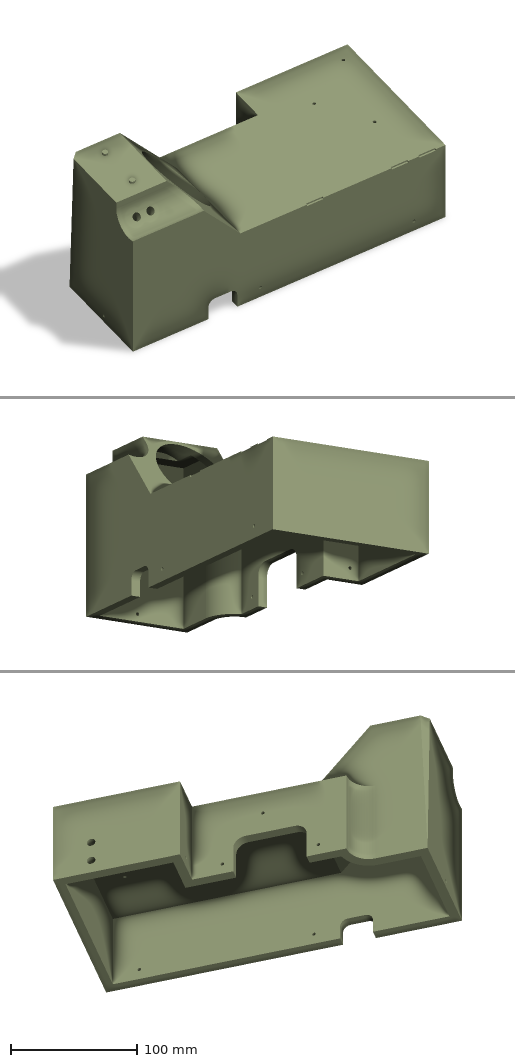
import cadquery as cq
import math

WIDTH = 143.0
LENGTH = 295.3
HEIGHT = 142.3
PIN_HEIGHT = 2.0
TOWER_HEIGHT = HEIGHT - PIN_HEIGHT
BASE_HEIGHT = 76.5
WALL = 8.0

STEP_X = 32.2
STEP_Y = 190.0
TOWER_X = 50.5
RELIEF_RADIUS = TOWER_X - STEP_X
RELIEF_CENTER_Y = 43.5

SLOPE_TOP_Y = 47.5
SLOPE_FOOT_Y = 101.5

BORE_DIAMETER = 60.8
BORE_X = 89.2
BORE_Z = BASE_HEIGHT + BORE_DIAMETER / 2

COVE_RADIUS = 17.7
COVE_X = WIDTH - 6.5
COVE_Z = TOWER_HEIGHT - 6.5
COVE_HOLE_DIAMETER = 7.0
COVE_HOLE_YS = (16.0, 29.0)

CORNER_CUT = 6.0

PIN_DIAMETER = 5.0
PIN_Y = 24.2
PIN_XS = (65.0, 104.5)

LEFT_NOTCH_Y = (94.8, 155.5)
LEFT_NOTCH_HEIGHT = 34.5
LEFT_NOTCH_RADIUS = 10.0
RIGHT_NOTCH_Y = (71.5, 98.5)
RIGHT_NOTCH_HEIGHT = 19.2
RIGHT_NOTCH_RADIUS = 6.5

SCREW_DIAMETER = 3.0
FRONT_SCREW_DIAMETER = 2.8
PORT_DIAMETER = 7.0
LOW_SCREW_Z = 10.0
TOP_SCREWS = ((14.0, 282.3), (89.2, 263.0), (45.0, 234.8))
STEP_WALL_SCREWS = ((131.0, 55.0), (164.8, LOW_SCREW_Z), (85.0, LOW_SCREW_Z))
RIGHT_WALL_SCREW_YS = (120.5, 265.5)
LEFT_PORTS = ((263.7, 31.3), (263.7, 12.5))
STEP_FACE_SCREW = (15.7, 9.7)
FRONT_FACE_SCREW = (100.5, 6.2)

NICK_LENGTH = 15.5
NICK_DEPTH = 1.5
NICK_CENTER_YS = (172.2, 252.5, 278.5)

DRILL_LENGTH = 3 * WALL
X_AXIS = (1, 0, 0)
Y_AXIS = (0, 1, 0)
Z_AXIS = (0, 0, 1)


def drill(start, direction, diameter, length=DRILL_LENGTH):
    """Cylinder from a start point along a direction."""
    return cq.Workplane(
        cq.Solid.makeCylinder(diameter / 2, length, cq.Vector(*start), cq.Vector(*direction))
    )


def body(inset):
    """Housing envelope with every face except the open bottom moved inward by inset."""
    arc_offset = RELIEF_RADIUS * math.sqrt(0.5)
    plan = (
        cq.Workplane("XY")
        .moveTo(TOWER_X, 0)
        .lineTo(WIDTH, 0)
        .lineTo(WIDTH, LENGTH)
        .lineTo(0, LENGTH)
        .lineTo(0, STEP_Y)
        .lineTo(STEP_X, STEP_Y)
        .lineTo(STEP_X, RELIEF_CENTER_Y + RELIEF_RADIUS)
        .threePointArc(
            (STEP_X + arc_offset, RELIEF_CENTER_Y + arc_offset),
            (TOWER_X, RELIEF_CENTER_Y),
        )
        .close()
    )
    profile = (
        cq.Workplane("YZ")
        .polyline([
            (0, -inset),
            (0, TOWER_HEIGHT),
            (SLOPE_TOP_Y, TOWER_HEIGHT),
            (SLOPE_FOOT_Y, BASE_HEIGHT),
            (LENGTH, BASE_HEIGHT),
            (LENGTH, -inset),
        ])
        .close()
    )
    if inset:
        plan = plan.offset2D(-inset, "intersection")
        profile = profile.offset2D(-inset, "intersection")
    base = plan.extrude(BASE_HEIGHT - inset)
    tower = profile.extrude(WIDTH - TOWER_X - 2 * inset).translate((TOWER_X + inset, 0, 0))
    return base.union(tower).cut(cove(COVE_RADIUS + inset))


def cove(radius):
    """Trough of the given radius, open upward, running the full depth of the tower."""
    trough = drill((COVE_X, 0, COVE_Z), Y_AXIS, 2 * radius, SLOPE_FOOT_Y)
    opening = cq.Workplane("XY").box(
        2 * radius, SLOPE_FOOT_Y, TOWER_HEIGHT - COVE_Z, centered=(True, False, False)
    )
    return trough.union(opening.translate((COVE_X, 0, COVE_Z)))


def notch(y_range, height, radius, x_start):
    """Round-cornered opening in a side wall, open at the bottom."""
    y_start, y_end = y_range
    block = cq.Workplane("XY").box(2 * WALL, y_end - y_start, height, centered=(True, False, False))
    return block.edges("|X and >Z").fillet(radius).translate((x_start, y_start, 0))


def corner_cut():
    """Tetrahedron whose sloping face removes the front left tower corner."""
    corner = cq.Vector(TOWER_X, 0, TOWER_HEIGHT)
    along_x = cq.Vector(TOWER_X + CORNER_CUT, 0, TOWER_HEIGHT)
    along_y = cq.Vector(TOWER_X, CORNER_CUT, TOWER_HEIGHT)
    foot = cq.Vector(TOWER_X, 0, 0)
    triangles = (
        (corner, along_x, along_y),
        (corner, along_x, foot),
        (corner, along_y, foot),
        (along_x, along_y, foot),
    )
    faces = [
        cq.Face.makeFromWires(cq.Wire.makePolygon(list(points), close=True)) for points in triangles
    ]
    return cq.Workplane(cq.Solid.makeSolid(cq.Shell.makeShell(faces)))


result = body(0).cut(body(WALL)).cut(corner_cut())

result = result.cut(drill((BORE_X, SLOPE_TOP_Y / 2, BORE_Z), Y_AXIS, BORE_DIAMETER, SLOPE_FOOT_Y))

result = result.cut(notch(LEFT_NOTCH_Y, LEFT_NOTCH_HEIGHT, LEFT_NOTCH_RADIUS, STEP_X + WALL / 2))
result = result.cut(notch(RIGHT_NOTCH_Y, RIGHT_NOTCH_HEIGHT, RIGHT_NOTCH_RADIUS, WIDTH - WALL / 2))

for x, y in TOP_SCREWS:
    result = result.cut(drill((x, y, BASE_HEIGHT - 2 * WALL), Z_AXIS, SCREW_DIAMETER))
for y, z in STEP_WALL_SCREWS:
    result = result.cut(drill((STEP_X - WALL, y, z), X_AXIS, SCREW_DIAMETER))
for y in RIGHT_WALL_SCREW_YS:
    result = result.cut(drill((WIDTH - 2 * WALL, y, LOW_SCREW_Z), X_AXIS, SCREW_DIAMETER))
for y, z in LEFT_PORTS:
    result = result.cut(drill((-WALL, y, z), X_AXIS, PORT_DIAMETER))
for (x, z), face_y in ((STEP_FACE_SCREW, STEP_Y), (FRONT_FACE_SCREW, 0)):
    result = result.cut(drill((x, face_y - WALL, z), Y_AXIS, FRONT_SCREW_DIAMETER))

for y in COVE_HOLE_YS:
    result = result.cut(
        drill((COVE_X, y, COVE_Z), (-1, 0, -1), COVE_HOLE_DIAMETER, COVE_RADIUS + 2 * WALL)
    )

for y in NICK_CENTER_YS:
    nick = cq.Workplane("XY").box(2 * NICK_DEPTH, NICK_LENGTH, 2 * NICK_DEPTH)
    result = result.cut(nick.translate((WIDTH, y, BASE_HEIGHT)))

for x in PIN_XS:
    pin_root = (x, PIN_Y, TOWER_HEIGHT - WALL / 2)
    result = result.union(drill(pin_root, Z_AXIS, PIN_DIAMETER, PIN_HEIGHT + WALL / 2))